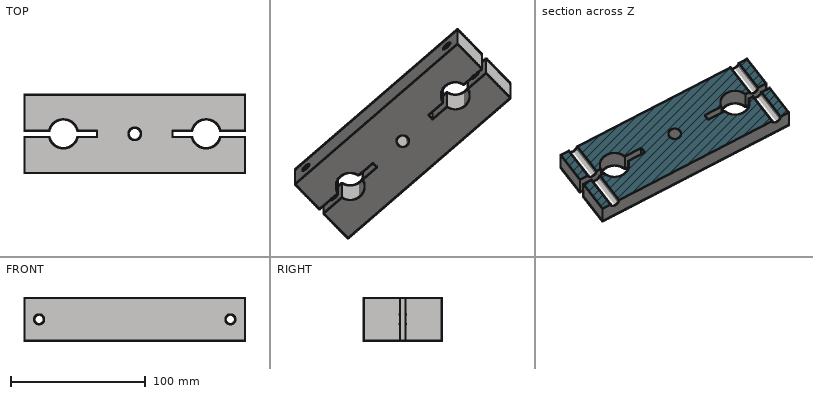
import cadquery as cq

length = 164.0
width = 58.2
height = 31.8

bore_diameter = 21.3
bore_spacing = 106.0
slot_width = 4.5
slot_length = 54.0

center_hole_diameter = 9.0
screw_hole_diameter = 7.0
screw_hole_spacing = 142.0


def vertical_hole(x, diameter):
    """Cylinder through the full height of the block."""
    return cq.Workplane("XY").center(x, 0).circle(diameter / 2).extrude(height / 2, both=True)


def screw_hole(x):
    """Clamp screw hole across the full width, at mid height."""
    return cq.Workplane("XZ").center(x, 0).circle(screw_hole_diameter / 2).extrude(width / 2, both=True)


def end_slot(side):
    """Full-height slot running inward from one end face."""
    slot_center_x = side * (length - slot_length) / 2
    return cq.Workplane("XY").box(slot_length, slot_width, height).translate((slot_center_x, 0, 0))


result = cq.Workplane("XY").box(length, width, height)
result = result.cut(vertical_hole(0, center_hole_diameter))

for side in (-1, 1):
    result = result.cut(vertical_hole(side * bore_spacing / 2, bore_diameter))
    result = result.cut(end_slot(side))
    result = result.cut(screw_hole(side * screw_hole_spacing / 2))